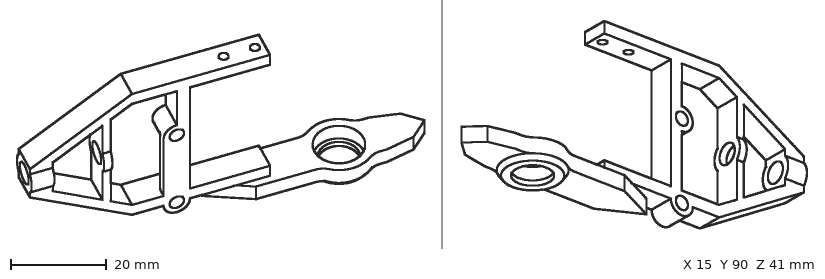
import cadquery as cq

frame_width = 6.4
bar = 3.0
frame_bottom = 5.0
frame_top = 41.0
frame_mid = (frame_bottom + frame_top) / 2
arm_end_y = 54.0
bend_y = 22.95
nose_depth = 5.1
nose_height = 8.5

upright_front_y = 33.0
pivot_diameter = 2 * bar
pivot_hole = 3.2
lower_pivot_z = frame_bottom
upper_pivot_z = 25.0
rib_width = 2.2

ring_diameter = 8.4
ring_hole = 4.95
strut_front_y = 16.3
strut_thickness = 1.9

screw_hole = 2.1
screw_hole_ys = (44.8, 51.8)

plate_bottom = 1.3
plate_half_width = 5.0
tail_tip_y = 40.0
tail_shoulder_y = 50.0
tip_y = 90.0
tip_shoulder_y = 86.0
tip_shoulder_half_width = 3.7
tip_taper_y = 79.6

seat_y = 70.7
seat_diameter = 15.0
seat_bore = 11.0
seat_through_hole = 9.0
seat_blend_radius = 4.5
lip_inset = 0.9


def block(x_min, x_max, y_min, y_max, z_min, z_max):
    size = (x_max - x_min, y_max - y_min, z_max - z_min)
    return cq.Workplane("XY").box(*size, centered=False).translate((x_min, y_min, z_min))


def x_cylinder(diameter, y, z):
    """Cylinder along X across the frame width."""
    disc = cq.Workplane("YZ", origin=(-frame_width / 2, y, z)).circle(diameter / 2)
    return disc.extrude(frame_width)


def y_cylinder(diameter, y_min, length):
    """Cylinder along Y at mid height of the frame."""
    disc = cq.Workplane("XZ", origin=(0, y_min, frame_mid)).circle(diameter / 2)
    return disc.extrude(-length)


def z_cylinder(diameter, y, z_min, z_max):
    disc = cq.Workplane("XY", origin=(0, y, z_min)).circle(diameter / 2)
    return disc.extrude(z_max - z_min)


def frame_prism(points):
    """Closed (y, z) outline extruded across the frame width."""
    outline = cq.Workplane("YZ", origin=(-frame_width / 2, 0, 0)).polyline(points).close()
    return outline.extrude(frame_width)


def make_frame():
    nose_top = frame_mid + nose_height / 2
    nose_bottom = frame_mid - nose_height / 2
    outer = [
        (arm_end_y, frame_top),
        (bend_y, frame_top),
        (0, nose_top),
        (0, nose_bottom),
        (bend_y, frame_bottom),
        (arm_end_y, frame_bottom),
    ]
    inner = [
        (arm_end_y, frame_top - bar),
        (bend_y, frame_top - bar),
        (nose_depth, nose_top),
        (nose_depth, nose_bottom),
        (bend_y, frame_bottom + bar),
        (arm_end_y, frame_bottom + bar),
    ]
    solid = frame_prism(outer)
    half = frame_width / 2
    upright = block(-half, half, upright_front_y, upright_front_y + bar, frame_bottom, frame_top)
    strut = block(
        -half, half, strut_front_y, strut_front_y + strut_thickness, frame_bottom, frame_top
    ).intersect(solid)
    rib = block(
        half - rib_width, half, upright_front_y - bar, upright_front_y, frame_bottom, upper_pivot_z
    )
    return solid.cut(frame_prism(inner)).union(upright).union(strut).union(rib)


def add_pivots(body):
    pivot_zs = (lower_pivot_z, upper_pivot_z)
    for z in pivot_zs:
        body = body.union(x_cylinder(pivot_diameter, upright_front_y, z))
    for z in pivot_zs:
        body = body.cut(x_cylinder(pivot_hole, upright_front_y, z))
    return body


def add_rings(body):
    for y, length in ((0, nose_depth), (strut_front_y, strut_thickness)):
        body = body.union(y_cylinder(ring_diameter, y, length))
        body = body.cut(y_cylinder(ring_hole, y, length))
    return body


def drill_upper_arm(body):
    for y in screw_hole_ys:
        body = body.cut(z_cylinder(screw_hole, y, frame_top - bar, frame_top))
    return body


def make_plate():
    seat_radius = seat_diameter / 2
    blend_x = plate_half_width + seat_blend_radius
    centre_distance = seat_radius + seat_blend_radius
    blend_dy = (centre_distance**2 - blend_x**2) ** 0.5
    touch_x = blend_x * seat_radius / centre_distance
    touch_dy = blend_dy * seat_radius / centre_distance

    blank = (
        cq.Workplane("XY", origin=(0, 0, plate_bottom))
        .moveTo(0, tail_tip_y)
        .lineTo(plate_half_width, tail_shoulder_y)
        .lineTo(plate_half_width, seat_y - blend_dy)
        .radiusArc((touch_x, seat_y - touch_dy), seat_blend_radius)
        .lineTo(touch_x, seat_y + touch_dy)
        .radiusArc((plate_half_width, seat_y + blend_dy), seat_blend_radius)
        .lineTo(plate_half_width, tip_taper_y)
        .lineTo(tip_shoulder_half_width, tip_shoulder_y)
        .lineTo(0, tip_y)
        .mirrorY()
        .extrude(frame_bottom - plate_bottom)
    )
    seat = z_cylinder(seat_diameter, seat_y, 0, frame_bottom)
    seat = seat.faces("<Z").chamfer(plate_bottom, lip_inset)
    plate = blank.union(seat)
    plate = plate.cut(z_cylinder(seat_bore, seat_y, plate_bottom, frame_bottom))
    return plate.cut(z_cylinder(seat_through_hole, seat_y, 0, frame_bottom))


frame = drill_upper_arm(add_rings(add_pivots(make_frame())))
result = frame.union(make_plate())